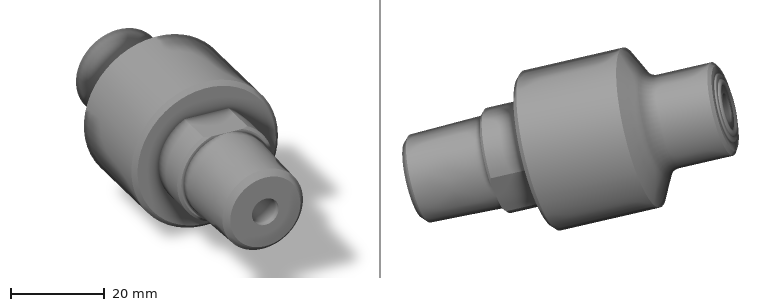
import cadquery as cq
import math

total_length = 70.7
nose_face_x = 0.5
nose_shoulder_x = 0.9
spigot_start_x = 1.55
spigot_end_x = 13.65
body_start_x = 19.65
body_end_x = 43.05
collar_end_x = 52.45

bore_radius = 6.35 / 2
nose_radius = 7.6
spigot_face_radius = 9.3
spigot_radius = 20.5 / 2
body_radius = 35.05 / 2
collar_radius = 11.5
thread_start_radius = 10.2

nose_fillet = 0.39
neck_fillet = 3.2
neck_cone_angle = math.radians(60)
body_chamfer = 1.0
collar_chamfer = 0.65
thread_chamfer = 1.3
thread_taper = 1 / 32
flat_distance = 20.5

seal_inner_radius = 4.8
seal_outer_radius = 12.7 / 2
seal_mid_radius = (seal_inner_radius + seal_outer_radius) / 2


def neck_arc_point(angle):
    """Point on the concave neck fillet, turned by angle from the spigot."""
    x = spigot_end_x + neck_fillet * math.sin(angle)
    radius = spigot_radius + neck_fillet * (1 - math.cos(angle))
    return x, radius


def turned_body():
    """Revolve the complete half section, bore included, about X."""
    thread_end_x = total_length - thread_chamfer
    thread_end_radius = thread_start_radius - thread_taper * (thread_end_x - collar_end_x)
    nose_arc_inset = nose_fillet * (1 - math.sin(math.radians(45)))
    nose_arc_middle = (nose_face_x + nose_arc_inset, nose_radius - nose_arc_inset)
    section = (
        cq.Workplane("XY")
        .moveTo(nose_face_x, bore_radius)
        .lineTo(nose_face_x, seal_inner_radius)
        .threePointArc((0, seal_mid_radius), (nose_face_x, seal_outer_radius))
        .lineTo(nose_face_x, nose_radius - nose_fillet)
        .threePointArc(nose_arc_middle, (nose_face_x + nose_fillet, nose_radius))
        .lineTo(nose_shoulder_x, nose_radius)
        .lineTo(nose_shoulder_x, spigot_face_radius)
        .lineTo(spigot_start_x, spigot_radius)
        .lineTo(spigot_end_x, spigot_radius)
        .threePointArc(neck_arc_point(neck_cone_angle / 2), neck_arc_point(neck_cone_angle))
        .lineTo(body_start_x, body_radius)
        .lineTo(body_end_x - body_chamfer, body_radius)
        .lineTo(body_end_x, body_radius - body_chamfer)
        .lineTo(body_end_x, collar_radius)
        .lineTo(collar_end_x - collar_chamfer, collar_radius)
        .lineTo(collar_end_x, collar_radius - collar_chamfer)
        .lineTo(collar_end_x, thread_start_radius)
        .lineTo(thread_end_x, thread_end_radius)
        .lineTo(total_length, thread_end_radius - thread_chamfer)
        .lineTo(total_length, bore_radius)
        .close()
    )
    return section.revolve(360, (0, 0, 0), (1, 0, 0))


def cut_wrench_flats(part):
    """Cut two opposite flats, facing +Z and -Z, along the collar."""
    collar_length = collar_end_x - body_end_x
    flat_depth = collar_radius - flat_distance / 2
    for side in (1, -1):
        cutter = cq.Workplane("XY").box(collar_length, 2 * collar_radius, flat_depth)
        center_x = body_end_x + collar_length / 2
        center_z = side * (flat_distance / 2 + flat_depth / 2)
        part = part.cut(cutter.translate((center_x, 0, center_z)))
    return part


result = cut_wrench_flats(turned_body())